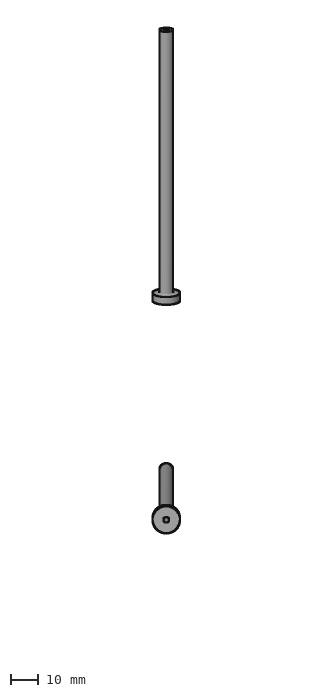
import cadquery as cq

total_length = 103.0
head_diameter = 10.0
head_height = 3.0
shaft_diameter = 5.0
bore_diameter = 2.1
neck_fillet_radius = 0.3

head = cq.Workplane("XY").circle(head_diameter / 2).extrude(head_height)

shaft = cq.Workplane("XY").circle(shaft_diameter / 2).extrude(total_length)
sleeve = head.union(shaft)

neck_edge = cq.selectors.RadiusNthSelector(0)
sleeve = sleeve.faces("<Z[1]").edges(neck_edge).fillet(neck_fillet_radius)

result = sleeve.faces(">Z").workplane().hole(bore_diameter)